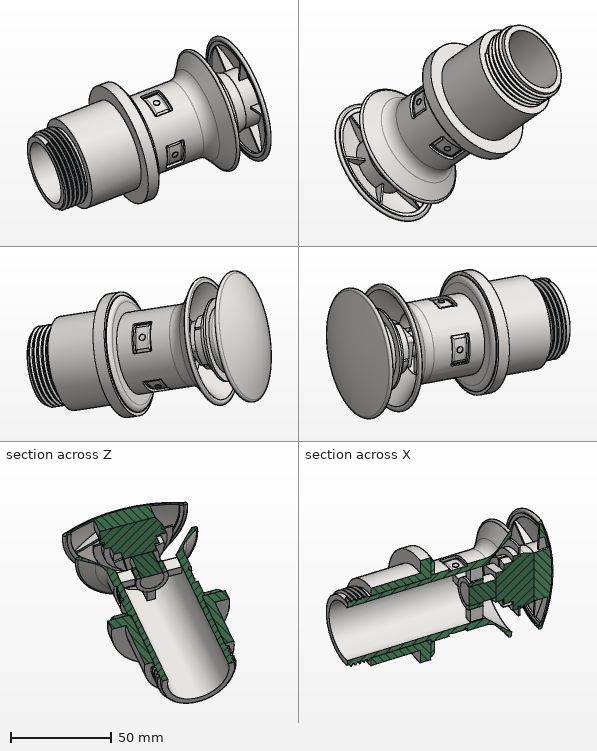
import cadquery as cq
import math


DOME_TOP = 117.0
DOME_EDGE_RADIUS = 32.0
DOME_EDGE_Y = 110.7
RIM_BOTTOM = 108.5
SHELL_THICKNESS = 0.9
LINER_RADIUS = 31.0
LINER_THICKNESS = 0.9
LINER_LIP_WIDTH = 2.1
LINER_BOTTOM = RIM_BOTTOM + 0.5
BOSS_RADIUS = 15.1
RIB_COUNT = 6
RIB_WIDTH = 1.2
RIB_START_ANGLE = 24.2

PLUG_TOP = 105.8
PLUG_CONE_BOTTOM = 100.0
PLUG_BOTTOM = 94.0
PLUG_RADIUS = 16.8
PLUG_TURN = 11.5
COLLAR_RADIUS = 13.6
COLLAR_BOTTOM = 88.9
COLLAR_SLOT_WIDTH = 1.2
POST_WIDTH = 17.5
POST_CORNER_RADIUS = 2.3
POST_BOTTOM = 84.2
SEAL_RADIUS = 21.1
SEAL_INNER_RADIUS = 15.7
SEAL_BOTTOM = 97.1
SEAL_THICKNESS = 1.2

TUBE_RADIUS = 20.7
BORE_RADIUS = 16.3
FLARE_TOP = 93.4
FLARE_RADIUS = 32.4
FLARE_RIM_HEIGHT = 2.0
FLARE_BLEND_RADIUS = 8.9
FLARE_BLEND_ANGLE = 53.0
FLARE_BLEND_BOTTOM = 78.5
FLARE_LIP_WIDTH = 1.8
BORE_TOP = 78.5
HUB_RADIUS = 8.7
HUB_BOTTOM = 69.0
HUB_TOP = 77.2
ARM_WIDTH = 4.6
ARM_BOTTOM = 70.2

WINDOW_COUNT = 4
WINDOW_Y = 63.1
WINDOW_WIDTH = 15.9
WINDOW_HEIGHT = 10.2
WINDOW_CORNER_RADIUS = 0.8
WINDOW_FLOOR_RADIUS = 19.2
PAD_WIDTH = 14.6
PAD_HEIGHT = 8.2
PAD_RADIUS = 19.7
PAD_EDGE_RADIUS = 19.3
PAD_FACE_WIDTH = 11.8
PAD_FACE_HEIGHT = 6.1
DRILL_MARK_RADIUS = 1.6
DRILL_MARK_DEPTH = 0.4

THREAD_TOP = 13.5
THREAD_ROOT_RADIUS = 19.3
THREAD_CREST_RADIUS = 20.6
THREAD_PITCH = 2.5
THREAD_TURNS = 4.75
THREAD_START_Y = 1.2
THREAD_BASE_WIDTH = 2.1
THREAD_CREST_WIDTH = 0.4
THREAD_EMBED = 0.2

STEM_RADIUS = 6.3
NUT_TOP = 47.5
NUT_FLANGE_RADIUS = 31.4
NUT_FLANGE_THICKNESS = 6.1
NUT_SLEEVE_RADIUS = 23.9
GASKET_RADIUS = 29.6
GASKET_TOP_RADIUS = 26.1
GASKET_THICKNESS = 2.1
GASKET_EDGE_HEIGHT = 0.5

DOME_RISE = DOME_TOP - DOME_EDGE_Y
DOME_SPHERE_RADIUS = (DOME_EDGE_RADIUS**2 + DOME_RISE**2) / (2 * DOME_RISE)
DOME_CENTER_Y = DOME_TOP - DOME_SPHERE_RADIUS


def turn(profile):
    """Close a (radius, y) profile and revolve it about the Y axis."""
    return profile.close().revolve(360, (0, 0, 0), (0, 1, 0))


def cylinder(radius, bottom, top):
    """Solid cylinder on the Y axis."""
    return cq.Workplane("XZ", origin=(0, bottom, 0)).circle(radius).extrude(bottom - top)


def block_y(width_x, width_z, bottom, top):
    """Box centred on the Y axis."""
    return cq.Workplane("XZ", origin=(0, bottom, 0)).rect(width_x, width_z).extrude(bottom - top)


def turned_about_y(body, angle):
    """Turn a body from +X toward +Z by the angle."""
    return body.rotate((0, 0, 0), (0, 1, 0), -angle)


def dome_y(radius, inset):
    """Height of the dome surface, moved inward by the inset, at a radius."""
    return DOME_CENTER_Y + math.sqrt((DOME_SPHERE_RADIUS - inset) ** 2 - radius**2)


def dome_solid(radius, bottom, inset):
    """Cylinder capped by the dome surface moved inward by the inset."""
    profile = (
        cq.Workplane("XY")
        .moveTo(0, bottom)
        .lineTo(radius, bottom)
        .lineTo(radius, dome_y(radius, inset))
        .threePointArc((radius / 2, dome_y(radius / 2, inset)), (0, dome_y(0, inset)))
    )
    return turn(profile)


def make_shell():
    """Thin domed shell with a rounded rim, open underneath for the liner."""
    rim_radius = (DOME_EDGE_Y - RIM_BOTTOM) / 2
    rim_middle = (DOME_EDGE_RADIUS + rim_radius, RIM_BOTTOM + rim_radius)
    outside = turn(
        cq.Workplane("XY")
        .moveTo(0, RIM_BOTTOM)
        .lineTo(DOME_EDGE_RADIUS, RIM_BOTTOM)
        .threePointArc(rim_middle, (DOME_EDGE_RADIUS, DOME_EDGE_Y))
        .threePointArc((DOME_EDGE_RADIUS / 2, dome_y(DOME_EDGE_RADIUS / 2, 0)), (0, DOME_TOP))
    )
    return outside.cut(dome_solid(LINER_RADIUS, RIM_BOTTOM, SHELL_THICKNESS))


def make_liner():
    """Liner under the shell, with a central boss and radial ribs."""
    inner_radius = LINER_RADIUS - LINER_LIP_WIDTH
    full = dome_solid(LINER_RADIUS, LINER_BOTTOM, SHELL_THICKNESS)
    hollow = dome_solid(inner_radius, LINER_BOTTOM, SHELL_THICKNESS + LINER_THICKNESS)
    liner = full.cut(hollow)
    liner = liner.union(cylinder(BOSS_RADIUS, PLUG_TOP, LINER_BOTTOM))
    liner = liner.union(dome_solid(BOSS_RADIUS, LINER_BOTTOM, SHELL_THICKNESS))
    rib = block_y(2 * LINER_RADIUS, RIB_WIDTH, LINER_BOTTOM, DOME_TOP).intersect(full)
    for index in range(RIB_COUNT // 2):
        liner = liner.union(turned_about_y(rib, RIB_START_ANGLE + index * 360 / RIB_COUNT))
    return liner


def make_seal():
    """Flat seal ring seated in the plug's groove."""
    top = SEAL_BOTTOM + SEAL_THICKNESS
    return cylinder(SEAL_RADIUS, SEAL_BOTTOM, top).cut(cylinder(SEAL_INNER_RADIUS, SEAL_BOTTOM, top))


def make_plug():
    """Tapered plug with a seal groove, a slotted collar and a square post below it."""
    body = turn(
        cq.Workplane("XY")
        .moveTo(0, PLUG_BOTTOM)
        .lineTo(PLUG_RADIUS, PLUG_BOTTOM)
        .lineTo(PLUG_RADIUS, PLUG_CONE_BOTTOM)
        .lineTo(BOSS_RADIUS, PLUG_TOP)
        .lineTo(0, PLUG_TOP)
    )
    collar = cylinder(COLLAR_RADIUS, COLLAR_BOTTOM, PLUG_BOTTOM)
    slot_length = 2 * COLLAR_RADIUS
    collar = collar.cut(block_y(slot_length, COLLAR_SLOT_WIDTH, COLLAR_BOTTOM, PLUG_BOTTOM))
    collar = collar.cut(block_y(COLLAR_SLOT_WIDTH, slot_length, COLLAR_BOTTOM, PLUG_BOTTOM))
    post = block_y(POST_WIDTH, POST_WIDTH, POST_BOTTOM, PLUG_BOTTOM).edges("|Y").fillet(POST_CORNER_RADIUS)
    plug = body.union(collar).union(post).cut(make_seal())
    return turned_about_y(plug, PLUG_TURN)


def make_housing_shell():
    """Flared tube with a narrower outlet end below the gasket and a through bore."""
    angle = math.radians(FLARE_BLEND_ANGLE)
    blend_center_radius = TUBE_RADIUS + FLARE_BLEND_RADIUS

    def blend_point(turn_angle):
        return (
            blend_center_radius - FLARE_BLEND_RADIUS * math.cos(turn_angle),
            FLARE_BLEND_BOTTOM + FLARE_BLEND_RADIUS * math.sin(turn_angle),
        )

    rim_radius = FLARE_RIM_HEIGHT / 2
    rim_center_radius = FLARE_RADIUS - rim_radius
    rim_bottom = FLARE_TOP - FLARE_RIM_HEIGHT
    profile = (
        cq.Workplane("XY")
        .moveTo(BORE_RADIUS, 0)
        .lineTo(THREAD_ROOT_RADIUS, 0)
        .lineTo(THREAD_ROOT_RADIUS, NUT_TOP)
        .lineTo(TUBE_RADIUS, NUT_TOP)
        .lineTo(TUBE_RADIUS, FLARE_BLEND_BOTTOM)
        .threePointArc(blend_point(angle / 2), blend_point(angle))
        .lineTo(rim_center_radius, rim_bottom)
        .threePointArc((FLARE_RADIUS, rim_bottom + rim_radius), (rim_center_radius, FLARE_TOP))
        .lineTo(rim_center_radius - FLARE_LIP_WIDTH, FLARE_TOP)
        .lineTo(BORE_RADIUS, BORE_TOP)
    )
    return turn(profile)


def make_spider():
    """Four arms across the bore that carry a hub; the arm ends run into the tube wall."""
    arm_length = BORE_RADIUS + WINDOW_FLOOR_RADIUS
    hub = cylinder(HUB_RADIUS, HUB_BOTTOM, HUB_TOP)
    arm_along_x = block_y(arm_length, ARM_WIDTH, ARM_BOTTOM, HUB_TOP)
    arm_along_z = block_y(ARM_WIDTH, arm_length, ARM_BOTTOM, HUB_TOP)
    return hub.union(arm_along_x).union(arm_along_z)


def height_on_circle(radius, x):
    """Z of the circle about the Y axis at the given X."""
    return math.sqrt(radius**2 - x**2)


def make_pad():
    """Knock-out pad on the +Z side, curved with the tube, bevelled on four sides, with a drill mark."""
    half_height = PAD_HEIGHT / 2
    half_face_height = PAD_FACE_HEIGHT / 2
    ring = turn(
        cq.Workplane("XY")
        .moveTo(BORE_RADIUS, WINDOW_Y - half_height)
        .lineTo(PAD_EDGE_RADIUS, WINDOW_Y - half_height)
        .lineTo(PAD_RADIUS, WINDOW_Y - half_face_height)
        .lineTo(PAD_RADIUS, WINDOW_Y + half_face_height)
        .lineTo(PAD_EDGE_RADIUS, WINDOW_Y + half_height)
        .lineTo(BORE_RADIUS, WINDOW_Y + half_height)
    )
    half_width = PAD_WIDTH / 2
    half_face_width = PAD_FACE_WIDTH / 2
    side_z = height_on_circle(PAD_EDGE_RADIUS, half_width)
    face_z = height_on_circle(PAD_RADIUS, half_face_width)
    right_side = [
        (half_width, 0),
        (half_width, side_z),
        (half_face_width, face_z),
        (half_face_width, TUBE_RADIUS),
    ]
    left_side = [(-x, z) for x, z in reversed(right_side)]
    prism = (
        cq.Workplane("XZ", origin=(0, WINDOW_Y, 0))
        .polyline(right_side + left_side)
        .close()
        .extrude(half_height, both=True)
    )
    drill_mark = (
        cq.Workplane("XY", origin=(0, WINDOW_Y, PAD_RADIUS - DRILL_MARK_DEPTH))
        .circle(DRILL_MARK_RADIUS)
        .extrude(DRILL_MARK_DEPTH)
    )
    return ring.intersect(prism).cut(drill_mark)


def make_window_cutter():
    """Rounded window on the +Z side, down to a cylindrical floor, leaving the knock-out pad."""
    window = (
        cq.Workplane("XY")
        .center(0, WINDOW_Y)
        .rect(WINDOW_WIDTH, WINDOW_HEIGHT)
        .extrude(TUBE_RADIUS)
        .edges("|Z")
        .fillet(WINDOW_CORNER_RADIUS)
    )
    floor = cylinder(WINDOW_FLOOR_RADIUS, WINDOW_Y - WINDOW_HEIGHT, WINDOW_Y + WINDOW_HEIGHT)
    return window.cut(floor).cut(make_pad())


def make_thread():
    """Right-hand helical ridge on the outlet, from a blunt end on +Z up to the nut face."""
    height = THREAD_PITCH * THREAD_TURNS
    inner = THREAD_ROOT_RADIUS - THREAD_EMBED
    base = THREAD_BASE_WIDTH / 2
    crest = THREAD_CREST_WIDTH / 2
    path = cq.Wire.makeHelix(THREAD_PITCH, height, THREAD_ROOT_RADIUS)
    ridge = (
        cq.Workplane("XZ")
        .moveTo(inner, -base)
        .lineTo(THREAD_CREST_RADIUS, -crest)
        .lineTo(THREAD_CREST_RADIUS, crest)
        .lineTo(inner, base)
        .close()
        .sweep(cq.Workplane(obj=path), isFrenet=True)
    )
    upright = ridge.rotate((0, 0, 0), (1, 0, 0), -90)
    placed = turned_about_y(upright, 90).translate((0, THREAD_START_Y, 0))
    return placed.intersect(cylinder(TUBE_RADIUS, 0, THREAD_TOP))


def make_housing():
    """Flared, threaded tube with its spider, stem hole and knock-out windows."""
    housing = make_housing_shell().union(make_spider())
    housing = housing.cut(cylinder(STEM_RADIUS, HUB_BOTTOM, HUB_TOP))
    cutter = make_window_cutter()
    for index in range(WINDOW_COUNT):
        housing = housing.cut(turned_about_y(cutter, index * 360 / WINDOW_COUNT))
    return housing.union(make_thread())


def make_stem():
    """Round stem from the hub up to the plug's post."""
    return cylinder(STEM_RADIUS, HUB_BOTTOM, POST_BOTTOM)


def make_gasket():
    """Gasket ring with a rounded upper outer edge."""
    top = NUT_TOP + GASKET_THICKNESS
    edge_y = NUT_TOP + GASKET_EDGE_HEIGHT
    round_width = GASKET_RADIUS - GASKET_TOP_RADIUS
    round_height = top - edge_y
    diagonal = math.sqrt(0.5)
    return turn(
        cq.Workplane("XY")
        .moveTo(TUBE_RADIUS, NUT_TOP)
        .lineTo(GASKET_RADIUS, NUT_TOP)
        .lineTo(GASKET_RADIUS, edge_y)
        .threePointArc(
            (GASKET_TOP_RADIUS + diagonal * round_width, edge_y + diagonal * round_height),
            (GASKET_TOP_RADIUS, top),
        )
        .lineTo(TUBE_RADIUS, top)
    )


def make_nut():
    """Flanged nut with a long sleeve around the narrower end of the housing."""
    flange = cylinder(NUT_FLANGE_RADIUS, NUT_TOP - NUT_FLANGE_THICKNESS, NUT_TOP)
    sleeve = cylinder(NUT_SLEEVE_RADIUS, THREAD_TOP, NUT_TOP)
    return flange.union(sleeve).cut(cylinder(THREAD_ROOT_RADIUS, THREAD_TOP, NUT_TOP))


shell = make_shell()
liner = make_liner()
plug = make_plug()
seal = make_seal()
housing = make_housing()
stem = make_stem()
gasket = make_gasket()
nut = make_nut()

result = cq.Compound.makeCompound(
    [
        shell.val(),
        liner.val(),
        plug.val(),
        seal.val(),
        housing.val(),
        stem.val(),
        gasket.val(),
        nut.val(),
    ]
)